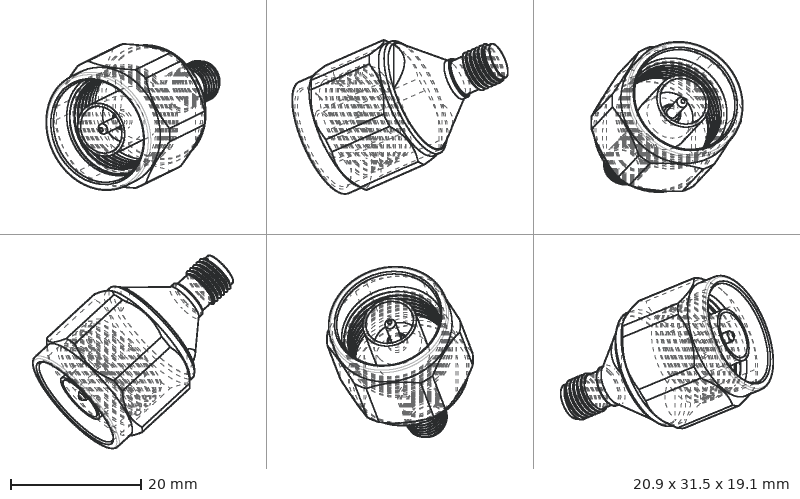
import cadquery as cq
import math

LENGTH = 31.5

ACROSS_FLATS = 19.05
HEX_CORNER_RADIUS = 20.9 / 2
SLEEVE_RADIUS = 9.4
HEX_START = 3.15
HEX_END = 15.6
NUT_END = 17.05
COLLAR_CHAMFER = 0.47
RIM_FILLET = 0.28

BORE_RADIUS = 8.13
MOUTH_CHAMFER = 0.28
BORE_DEPTH = 4.22
NUT_THREAD_CREST_RADIUS = 7.37
NUT_THREAD_ROOT_RADIUS = 7.95
NUT_THREAD_END = 10.7
NUT_THREAD_TURNS = 6.1
NUT_FLOOR = 11.35

TUBE_START = 1.1
TUBE_OUTER_RADIUS = 4.22
TUBE_INNER_RADIUS = 3.72
TUBE_FLOOR = 7.55
PIN_TIP = TUBE_START
PIN_TIP_RADIUS = 0.3
PIN_RADIUS = 0.82
PIN_TAPER_LENGTH = 0.5
PIN_BASE_START = 6.6
PIN_BASE_RADIUS = 1.55
PIN_BASE_CHAMFER = 0.35

CONE_BASE_RADIUS = 8.8
CONE_END = 23.62
FLAT_OFFSET = 7.18
FLANGE_RADIUS = 3.2
FLANGE_END = 24.63
FLANGE_CHAMFER = 0.2

NECK_RADIUS = 2.85
NECK_CHAMFER = 0.05
THREAD_CREST_RADIUS = 3.2
THREAD_START = 26.87
THREAD_END = 30.68
THREAD_TURNS = 5.4
THREAD_ANGLE = -48.0

THREAD_HALF_ANGLE = 30.0
TIP_FLAT_PER_PITCH = 1 / 8
OVERLAP = 0.05


def revolved(points):
    """Turn a closed (radius, Y) outline about the Y axis."""
    return cq.Workplane("XY").polyline(points).close().revolve(360, (0, 0), (0, 1))


def cylinder(radius, start, end):
    return revolved([(0, start), (radius, start), (radius, end), (0, end)])


def helical_coil(base_radius, tip_radius, pitch, start, length, start_angle=0):
    """Right-handed coil about Y, tapering outward from just inside its base radius to a narrow flat."""
    inner_radius = base_radius - OVERLAP
    tip_half_width = TIP_FLAT_PER_PITCH * pitch / 2
    flank_width = (tip_radius - inner_radius) * math.tan(math.radians(THREAD_HALF_ANGLE))
    base_half_width = tip_half_width + flank_width
    path = cq.Workplane(obj=cq.Wire.makeHelix(pitch, length, inner_radius))
    coil = (
        cq.Workplane("XZ")
        .polyline([
            (inner_radius, -base_half_width),
            (tip_radius, -tip_half_width),
            (tip_radius, tip_half_width),
            (inner_radius, base_half_width),
        ])
        .close()
        .sweep(path, isFrenet=True)
    )
    return (
        coil.rotate((0, 0, 0), (1, 0, 0), -90)
        .rotate((0, 0, 0), (0, 1, 0), start_angle)
        .translate((0, start, 0))
    )


def nut_outside():
    corner_chamfer = HEX_CORNER_RADIUS - SLEEVE_RADIUS
    hexagon = (
        cq.Workplane("XZ", origin=(0, HEX_START, 0))
        .polygon(6, ACROSS_FLATS / math.cos(math.radians(30)))
        .extrude(HEX_START - HEX_END)
    )
    corner_limit = cylinder(HEX_CORNER_RADIUS, HEX_START, HEX_END).edges().chamfer(corner_chamfer)
    sleeve = revolved([
        (0, 0),
        (SLEEVE_RADIUS, 0),
        (SLEEVE_RADIUS, NUT_END - COLLAR_CHAMFER),
        (SLEEVE_RADIUS - COLLAR_CHAMFER, NUT_END),
        (0, NUT_END),
    ]).faces("<Y").edges().fillet(RIM_FILLET)
    return sleeve.union(hexagon.intersect(corner_limit))


def nut_cavity():
    """Bore of the nut, with the internal thread as a helical groove around it."""
    lead_in = BORE_RADIUS - NUT_THREAD_CREST_RADIUS
    bore = revolved([
        (0, 0),
        (BORE_RADIUS + MOUTH_CHAMFER, 0),
        (BORE_RADIUS, MOUTH_CHAMFER),
        (BORE_RADIUS, BORE_DEPTH),
        (NUT_THREAD_CREST_RADIUS, BORE_DEPTH + lead_in),
        (NUT_THREAD_CREST_RADIUS, NUT_FLOOR),
        (0, NUT_FLOOR),
    ])
    length = NUT_THREAD_END - BORE_DEPTH
    pitch = length / NUT_THREAD_TURNS
    groove = helical_coil(
        NUT_THREAD_CREST_RADIUS, NUT_THREAD_ROOT_RADIUS,
        pitch, BORE_DEPTH - pitch, length + pitch,
    )
    return bore.union(groove)


def contact_tube():
    tube = cylinder(TUBE_OUTER_RADIUS, TUBE_START, NUT_FLOOR)
    return tube.cut(cylinder(TUBE_INNER_RADIUS, TUBE_START, TUBE_FLOOR))


def centre_pin():
    return revolved([
        (0, PIN_TIP),
        (PIN_TIP_RADIUS, PIN_TIP),
        (PIN_RADIUS, PIN_TIP + PIN_TAPER_LENGTH),
        (PIN_RADIUS, PIN_BASE_START),
        (PIN_BASE_RADIUS - PIN_BASE_CHAMFER, PIN_BASE_START),
        (PIN_BASE_RADIUS, PIN_BASE_START + PIN_BASE_CHAMFER),
        (PIN_BASE_RADIUS, TUBE_FLOOR),
        (0, TUBE_FLOOR),
    ])


def tapered_body():
    """Cone with two flats facing -X and +X, the flange and the plain neck."""
    cone = revolved([(0, NUT_END), (CONE_BASE_RADIUS, NUT_END), (FLANGE_RADIUS, CONE_END), (0, CONE_END)])
    between_flats = cq.Workplane("XY").box(2 * FLAT_OFFSET, 2 * LENGTH, 2 * CONE_BASE_RADIUS)
    flange = cylinder(FLANGE_RADIUS, CONE_END, FLANGE_END).faces(">Y").chamfer(FLANGE_CHAMFER)
    neck = cylinder(NECK_RADIUS, FLANGE_END, LENGTH).faces(">Y").chamfer(NECK_CHAMFER)
    return cone.intersect(between_flats).union(flange).union(neck)


def neck_thread():
    """External thread, trimmed square at both ends."""
    length = THREAD_END - THREAD_START
    pitch = length / THREAD_TURNS
    ridge = helical_coil(
        NECK_RADIUS, THREAD_CREST_RADIUS, pitch, THREAD_START - pitch, length + 2 * pitch, THREAD_ANGLE,
    )
    return ridge.intersect(cylinder(2 * THREAD_CREST_RADIUS, THREAD_START, THREAD_END))


result = (
    nut_outside()
    .cut(nut_cavity())
    .union(contact_tube())
    .union(centre_pin())
    .union(tapered_body())
    .union(neck_thread())
)